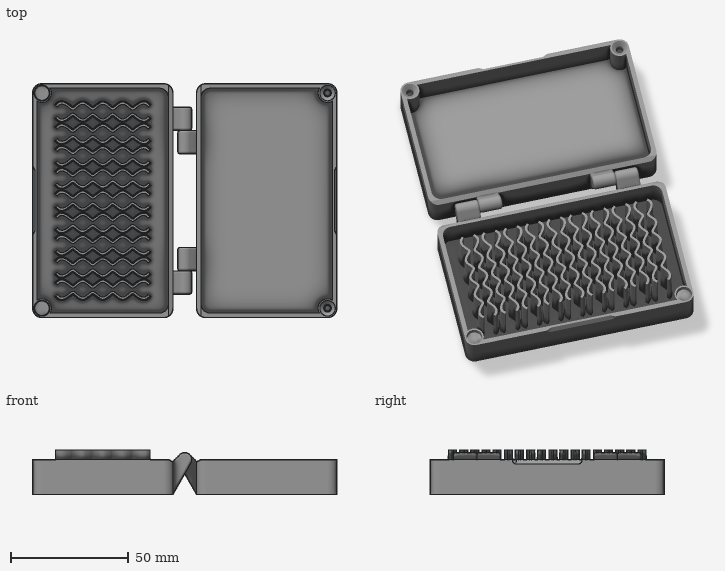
import cadquery as cq
import math


total_width = 130.0
case_depth = 100.0
case_height = 15.0
overall_height = 19.1
hinge_gap = 10.0
half_width = (total_width - hinge_gap) / 2
half_center_x = (hinge_gap + half_width) / 2

wall = 2.0
floor = 2.0
corner_radius = 4.0
rim_bevel_height = 1.0

post_radius = corner_radius
tray_pocket_rim_diameter = 6.8
tray_pocket_floor_diameter = 6.2
lid_pocket_rim_diameter = 6.6
lid_pocket_floor_diameter = 3.2
pocket_depth = 2.0
lid_pilot_tip_diameter = 2.5
lid_pilot_depth = 2.0

recess_straight_length = 26.0
recess_height = 2.0
recess_depth = 1.0

arm_length = 10.0
arm_edge_fillet = 1.0
hinge_radius = 3.0
arm_top_slope = math.radians(45)
hinge_outer_y = case_depth / 2 - arm_length

tubes_per_row = 5
tube_rows = 9
tube_diameter = 6.2
tube_span_x = 34.0
row_span_y = 76.0
rack_crest_thickness = 1.0
rack_draft = 0.5
rack_foot_thickness = rack_crest_thickness + rack_draft
flank_angle = math.radians(30)
end_angle = math.radians(40)
tube_pitch = tube_span_x / (tubes_per_row - 1)
row_pitch = row_span_y / (tube_rows - 1)


def polar(center, radius, angle):
    """Point at a radius and angle around a center."""
    return (center[0] + radius * math.cos(angle), center[1] + radius * math.sin(angle))


def case_shell():
    """Open box of one half, with its hinge side at +X and centred on the Z axis."""
    shell = (
        cq.Workplane("XY")
        .rect(half_width, case_depth)
        .extrude(case_height)
        .edges("|Z")
        .fillet(corner_radius)
    )
    cavity = (
        cq.Workplane("XY", origin=(0, 0, floor))
        .rect(half_width - 2 * wall, case_depth - 2 * wall)
        .extrude(case_height)
        .edges("|Z")
        .fillet(corner_radius)
    )
    return shell.cut(cavity)


def post_centers():
    """Centers of the two corner posts, concentric with the outer corners."""
    x = -half_width / 2 + corner_radius
    y = case_depth / 2 - corner_radius
    return [(x, -y), (x, y)]


def rim_bevel():
    """Wedge that lowers the rim across the hinge-side wall."""
    edge_x = half_width / 2
    return (
        cq.Workplane("XZ")
        .polyline([
            (edge_x - wall, case_height),
            (edge_x, case_height),
            (edge_x, case_height - rim_bevel_height),
        ])
        .close()
        .extrude(case_depth / 2, both=True)
    )


def thumb_recess():
    """Sloping recess with conical ends, cut into the rim of the outer wall."""
    outer_x = -half_width / 2
    half_length = recess_straight_length / 2
    profile = [
        (outer_x, case_height),
        (outer_x + recess_depth, case_height),
        (outer_x, case_height - recess_height),
    ]
    recess = cq.Workplane("XZ").polyline(profile).close().extrude(half_length, both=True)
    for y in (-half_length, half_length):
        cone = cq.Solid.makeCone(
            recess_height, 0, recess_depth, cq.Vector(outer_x, y, case_height), cq.Vector(1, 0, 0)
        )
        recess = recess.union(cq.Workplane(cone))
    return recess


def hinge_arm(start_y):
    """Arm reaching from the hinge-side wall to a round end on the hinge axis."""
    wall_x = -hinge_gap / 2
    axis = (0, case_height)
    upper_angle = math.pi / 2 + arm_top_slope
    upper_tangent = polar(axis, hinge_radius, upper_angle)
    top_drop = (upper_tangent[0] - wall_x) * math.tan(arm_top_slope)
    upper_root = (wall_x, upper_tangent[1] - top_drop)
    foot_distance = math.hypot(wall_x, case_height)
    foot_direction = math.atan2(-case_height, wall_x)
    lower_angle = foot_direction + math.acos(hinge_radius / foot_distance)
    lower_tangent = polar(axis, hinge_radius, lower_angle)
    tip = polar(axis, hinge_radius, (upper_angle + lower_angle) / 2)
    arm = (
        cq.Workplane("XZ", origin=(0, start_y, 0))
        .moveTo(wall_x, 0)
        .lineTo(*lower_tangent)
        .threePointArc(tip, upper_tangent)
        .lineTo(*upper_root)
        .close()
        .extrude(-arm_length)
    )
    return arm.faces("<Y or >Y").edges("not <X").fillet(arm_edge_fillet)


def case_half(arm_start):
    """Left half without its post holes; arm_start is the lower Y end of the +Y hinge arm."""
    half = case_shell()
    posts = cq.Workplane("XY").pushPoints(post_centers()).circle(post_radius).extrude(case_height)
    half = half.union(posts).cut(rim_bevel()).cut(thumb_recess())
    half = half.translate((-half_center_x, 0, 0))
    for start_y in (arm_start, -arm_start - arm_length):
        half = half.union(hinge_arm(start_y))
    return half


def cut_tapered_holes(half, top_z, top_diameter, bottom_diameter, depth):
    """Half with a tapered blind hole sunk into each post, starting at a given height."""
    for x, y in post_centers():
        hole = cq.Solid.makeCone(
            top_diameter / 2,
            bottom_diameter / 2,
            depth,
            cq.Vector(x - half_center_x, y, top_z),
            cq.Vector(0, 0, -1),
        )
        half = half.cut(cq.Workplane(hole))
    return half


def wave_points(radius):
    """Points of one side of a rack wall: tube crowns, necks between tubes, and flanks."""
    center_distance = tube_pitch / 2 / math.cos(flank_angle)
    neck_radius = center_distance - radius
    neck_y = center_distance * math.sin(flank_angle)
    points = [polar((-tube_span_x / 2, 0), radius, math.pi - end_angle)]
    for index in range(tubes_per_row):
        tube = (index * tube_pitch - tube_span_x / 2, 0)
        points.append(polar(tube, radius, math.pi / 2))
        if index < tubes_per_row - 1:
            neck = (tube[0] + tube_pitch / 2, neck_y)
            points.append(polar(tube, radius, flank_angle))
            points.append(polar(neck, neck_radius, -math.pi / 2))
            points.append(polar(neck, neck_radius, -flank_angle))
    points.append(polar((tube_span_x / 2, 0), radius, end_angle))
    return points


def wall_outline(workplane, thickness):
    """Closed outline of a rack wall: along the tube side, then back along the outer side."""
    front = wave_points(tube_diameter / 2)
    back = wave_points(tube_diameter / 2 + thickness)
    back.reverse()
    return (
        workplane.moveTo(*front[0])
        .spline(front[1:], includeCurrent=True)
        .lineTo(*back[0])
        .spline(back[1:], includeCurrent=True)
        .close()
    )


def rack_wall():
    """Wavy wall above a row of tubes, thinning upwards on its outer side."""
    foot = wall_outline(cq.Workplane("XY", origin=(0, 0, floor)), rack_foot_thickness)
    crest = wall_outline(foot.workplane(offset=overall_height - floor), rack_crest_thickness)
    return crest.loft(ruled=True)


def racks():
    """Solids of the facing wavy walls, one pair per row of tubes."""
    upper = rack_wall().val()
    lower = upper.mirror("XZ")
    walls = []
    for row in range(tube_rows):
        offset = cq.Vector(-half_center_x, row * row_pitch - row_span_y / 2, 0)
        walls += [upper.translate(offset), lower.translate(offset)]
    return walls


def make_tray():
    tray = case_half(hinge_outer_y - arm_length)
    tray = cut_tapered_holes(
        tray, case_height, tray_pocket_rim_diameter, tray_pocket_floor_diameter, pocket_depth
    )
    for rack in racks():
        tray = tray.union(cq.Workplane(rack))
    return tray


def make_lid():
    lid = case_half(hinge_outer_y - 2 * arm_length)
    lid = cut_tapered_holes(
        lid, case_height, lid_pocket_rim_diameter, lid_pocket_floor_diameter, pocket_depth
    )
    lid = cut_tapered_holes(
        lid,
        case_height - pocket_depth,
        lid_pocket_floor_diameter,
        lid_pilot_tip_diameter,
        lid_pilot_depth,
    )
    return lid.mirror("YZ")


tray = make_tray()
lid = make_lid()

result = cq.Compound.makeCompound([tray.val(), lid.val()])